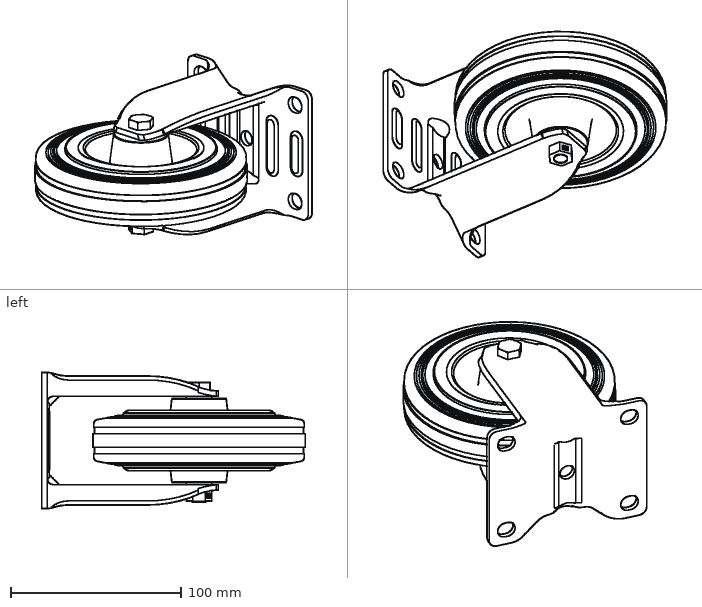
import cadquery as cq
import math


plate_length = 100.0
plate_width = 80.0
plate_back = 92.5
sheet = 3.3
plate_front = plate_back - sheet
plate_corner_radius = 5.0
bolt_slot_length = 11.0
bolt_slot_width = 9.5
bolt_slot_x = 39.0
bolt_slot_z = 30.0
plate_centre_hole = 9.0

leg_inner = 25.9
leg_outer = leg_inner + sheet
leg_flat_half = 11.0
flange_angle = math.radians(42)
flange_bend_outer = 9.5
flange_bend_inner = flange_bend_outer + sheet
flange_length = 9.5
flange_end_y = 30.5
flange_flare_y = 76.5
flange_flare_radius = 12.0
tip_y = -11.4
tip_flat_half = 9.0
tip_corner_x = 12.0
tip_corner_y = -10.0
narrow_end_y = 0.4
root_bend_inner = 3.4
root_bend_outer = root_bend_inner + sheet

dimple_radius = 11.0
dimple_depth = 6.3
dimple_rim_fillet = 7.0
flare_outline_x = 34.0
channel_half = 5.5
channel_foot_half = 8.8
channel_rise = 1.2
rib_rise = 1.4
rib_width = 10.0
rib_chamfer_height = 1.2
rib_chamfer_width = 2.2
plate_ribs = [(40.4, 28.0), (20.2, 37.5)]

wheel_radius = 62.5
tread_band_half = 4.1
tread_groove_radius = 61.6
tread_groove_end = 7.7
tread_edge_radius = 62.0
shoulder_start = 9.7
shoulder_top_radius = 59.5
shoulder_top = 12.4
shoulder_bulge = 0.5
side_rings = [56.0, 53.2, 51.0]
side_ring_width = 1.3
side_ring_depth = 0.1
tyre_lip_radius = 46.8
tyre_lip = 14.9
tyre_bead_foot_radius = 44.9
tyre_bead_top_radius = 44.4
tyre_bead_top = 16.3
rim_radius = 44.1
bead_foot = 16.0
bead_top = 17.9
bead_inner_radius = 37.0
rim_land_radius = 34.0
web_radius = 31.2
rim_wall_top_radius = 32.8
web_half = 4.7
web_fillet = 1.2
hub_top_radius = 16.1
hub_foot_radius = 18.7
hub_half = 24.8
hub_chamfer = 0.4

axle_radius = 4.0
sleeve_radius = 7.6
hex_flats = 13.0
hex_corners = hex_flats / math.cos(math.radians(30))
head_height = 5.0
nut_height = 6.5
bolt_overhang = 0.5
hex_chamfer = 0.5
nut_turn = 30
marked_face_angle = 240
nut_mark_width = 3.8
nut_mark_height = 2.8
nut_mark_line = 0.7
nut_mark_depth = 0.2

far = 100.0


def under_leg_surface(flat_z, bend_radius, bottom_z, y_start, y_end):
    """Everything between bottom_z and the hat-shaped leg surface, from y_start to y_end."""
    half_width = plate_length / 2 + 10
    sine = math.sin(flange_angle)
    cosine = math.cos(flange_angle)
    bend_mid = (
        leg_flat_half + bend_radius * math.sin(flange_angle / 2),
        flat_z + bend_radius * (1 - math.cos(flange_angle / 2)),
    )
    bend_end = (leg_flat_half + bend_radius * sine, flat_z + bend_radius * (1 - cosine))
    side_z = bend_end[1] + (half_width - bend_end[0]) * math.tan(flange_angle)
    profile = (
        cq.Workplane("XZ", origin=(0, y_end, 0))
        .moveTo(-half_width, bottom_z)
        .lineTo(-half_width, side_z)
        .lineTo(-bend_end[0], bend_end[1])
        .threePointArc((-bend_mid[0], bend_mid[1]), (-leg_flat_half, flat_z))
        .lineTo(leg_flat_half, flat_z)
        .threePointArc(bend_mid, bend_end)
        .lineTo(half_width, side_z)
        .lineTo(half_width, bottom_z)
        .close()
    )
    return profile.extrude(y_end - y_start)


def with_root_bend(body, bend_radius, groove_radius):
    """Round the edge between leg and plate and press the diagonal dimple into it."""
    root_edges = cq.selectors.BoxSelector((-far, tip_y, leg_inner - 1), (far, plate_back + 1, far))
    rounded = body.faces(">Y").edges(root_edges).fillet(bend_radius)
    axis_offset = (dimple_radius - dimple_depth) * math.sqrt(0.5)
    dimple_plane = cq.Plane(
        origin=(0, plate_back + axis_offset, leg_outer + axis_offset),
        xDir=(1, 0, 0),
        normal=(0, 1, -1),
    )
    dimple = cq.Workplane(dimple_plane).circle(groove_radius).extrude(far / 4, both=True)
    return rounded.cut(dimple)


def make_flange_trim():
    """Removes the sheet beyond the flange edge, square to the flange (+X side, +Z leg)."""
    sine = math.sin(flange_angle)
    cosine = math.cos(flange_angle)
    bend_end_x = leg_flat_half + flange_bend_outer * sine
    bend_end_z = leg_outer + flange_bend_outer * (1 - cosine)
    flange_plane = cq.Plane(
        origin=(bend_end_x, 0, bend_end_z), xDir=(cosine, 0, sine), normal=(-sine, 0, cosine)
    )
    flare_turn = flange_flare_radius * math.sqrt(0.5)
    edge = (
        cq.Workplane(flange_plane)
        .moveTo(0, narrow_end_y)
        .lineTo(0, 2 * tip_y)
        .lineTo(far, 2 * tip_y)
        .lineTo(far, flange_flare_y + flange_flare_radius)
        .lineTo(flange_length + flange_flare_radius, flange_flare_y + flange_flare_radius)
        .threePointArc(
            (
                flange_length + flange_flare_radius - flare_turn,
                flange_flare_y + flare_turn,
            ),
            (flange_length, flange_flare_y),
        )
        .lineTo(flange_length, flange_end_y)
        .tangentArcPoint((0, narrow_end_y), relative=False)
        .close()
    )
    return edge.extrude(2 * sheet, both=True)


def make_tip_trim():
    """Removes the +X corner of the leg tip, square to the middle of the bend."""
    half_angle = flange_angle / 2
    sine = math.sin(half_angle)
    cosine = math.cos(half_angle)
    bend_mid_x = leg_flat_half + flange_bend_outer * sine
    bend_mid_z = leg_outer + flange_bend_outer * (1 - cosine)
    bend_end_x = leg_flat_half + flange_bend_outer * math.sin(flange_angle)
    bend_plane = cq.Plane(
        origin=(bend_mid_x, 0, bend_mid_z), xDir=(cosine, 0, sine), normal=(-sine, 0, cosine)
    )

    def along_bend(x):
        return (x - bend_mid_x) / cosine

    corner = (
        cq.Workplane(bend_plane)
        .moveTo(along_bend(bend_end_x), narrow_end_y)
        .lineTo(along_bend(tip_corner_x), tip_corner_y)
        .lineTo(along_bend(tip_flat_half), tip_y)
        .lineTo(along_bend(tip_flat_half), 2 * tip_y)
        .lineTo(far, 2 * tip_y)
        .lineTo(far, narrow_end_y)
        .close()
    )
    return corner.extrude(2 * sheet, both=True)


def make_outline_trim():
    """Drops the plate's long edge in a curve to the flange corner (+X side, +Z leg)."""
    bend_end_x = leg_flat_half + flange_bend_outer * math.sin(flange_angle)
    bend_end_z = leg_outer + flange_bend_outer * (1 - math.cos(flange_angle))
    flange_corner_x = bend_end_x + flange_length * math.cos(flange_angle)
    flange_corner_z = bend_end_z + flange_length * math.sin(flange_angle)
    return (
        cq.Workplane("XZ", origin=(0, plate_back + 1, 0))
        .moveTo(flare_outline_x + 1, plate_width / 2)
        .lineTo(flare_outline_x, plate_width / 2)
        .tangentArcPoint((flange_corner_x, flange_corner_z), relative=False)
        .lineTo(flange_corner_x, plate_width / 2 + 1)
        .lineTo(flare_outline_x + 1, plate_width / 2 + 1)
        .close()
        .extrude(far)
    )


def make_half_fork():
    """The +Z leg with its half of the plate."""
    outer = under_leg_surface(leg_outer, flange_bend_outer, 0, tip_y, plate_back)
    inner = under_leg_surface(leg_inner, flange_bend_inner, -1, tip_y - 1, plate_front)
    outer = with_root_bend(outer, root_bend_outer, dimple_radius)
    dimple_edge_reach = leg_flat_half - 1.5
    dimple_rim = cq.selectors.BoxSelector(
        (-dimple_edge_reach, flange_flare_y, plate_width / 4),
        (dimple_edge_reach, plate_back + 1, leg_outer + 1),
    )
    outer = outer.edges(dimple_rim).fillet(dimple_rim_fillet)
    inner = with_root_bend(inner, root_bend_inner, dimple_radius + sheet)
    half = outer.cut(inner)
    for trim in (make_flange_trim(), make_tip_trim(), make_outline_trim()):
        half = half.cut(trim).cut(trim.mirror("YZ"))
    return half


def channel(back_y, front_y):
    """Flat-topped strip along the middle of the plate."""
    reach = leg_inner - root_bend_inner
    return (
        cq.Workplane("XY", origin=(0, 0, -reach))
        .polyline([
            (-channel_foot_half, back_y),
            (-channel_half, front_y),
            (channel_half, front_y),
            (channel_foot_half, back_y),
        ])
        .close()
        .extrude(2 * reach)
    )


def make_fork():
    half = make_half_fork()
    fork = half.union(half.mirror("XY"))
    envelope = (
        cq.Workplane("XZ", origin=(0, plate_back, 0))
        .rect(plate_length, plate_width)
        .extrude(plate_back + far)
        .edges("|Y")
        .fillet(plate_corner_radius)
    )
    fork = fork.intersect(envelope)
    fork = fork.union(channel(plate_front, plate_front - channel_rise))
    fork = fork.cut(channel(plate_back, plate_back - channel_rise))
    for rib_x, rib_length in plate_ribs:
        for side in (-1, 1):
            rib = (
                cq.Workplane("XZ", origin=(side * rib_x, plate_front, 0))
                .slot2D(rib_length, rib_width, 90)
                .extrude(rib_rise)
                .faces("<Y")
                .chamfer(rib_chamfer_height, rib_chamfer_width)
            )
            fork = fork.union(rib)
    plate_holes = (
        cq.Workplane("XZ", origin=(0, plate_back + 1, 0))
        .rect(2 * bolt_slot_x, 2 * bolt_slot_z, forConstruction=True)
        .vertices()
        .slot2D(bolt_slot_length, bolt_slot_width)
        .extrude(3 * sheet)
    )
    centre_hole = (
        cq.Workplane("XZ", origin=(0, plate_back + 1, 0))
        .circle(plate_centre_hole / 2)
        .extrude(3 * sheet)
    )
    axle_hole = cq.Workplane("XY").circle(axle_radius).extrude(far, both=True)
    return fork.cut(plate_holes).cut(centre_hole).cut(axle_hole)


def revolve_upper_half(profile):
    """Turn an upper-half profile about Z and mirror it to the full width."""
    upper = profile.close().revolve(360, (0, 0, 0), (0, 1, 0))
    return upper.union(upper.mirror("XY"))


def make_tyre():
    shoulder_mid = (
        (tread_edge_radius + shoulder_top_radius) / 2 + shoulder_bulge,
        (shoulder_start + shoulder_top) / 2 + shoulder_bulge,
    )
    profile = (
        cq.Workplane("XZ")
        .moveTo(rim_radius, 0)
        .lineTo(wheel_radius, 0)
        .lineTo(wheel_radius, tread_band_half)
        .lineTo(tread_groove_radius, tread_band_half)
        .lineTo(tread_groove_radius, tread_groove_end)
        .lineTo(tread_edge_radius, tread_groove_end)
        .lineTo(tread_edge_radius, shoulder_start)
        .threePointArc(shoulder_mid, (shoulder_top_radius, shoulder_top))
        .lineTo(tyre_lip_radius, tyre_lip)
        .lineTo(tyre_bead_foot_radius, tyre_lip)
        .lineTo(tyre_bead_top_radius, tyre_bead_top)
        .lineTo(rim_radius, tyre_bead_top)
    )
    tyre = revolve_upper_half(profile)
    wall_slope = (tyre_lip - shoulder_top) / (shoulder_top_radius - tyre_lip_radius)
    for ring in side_rings:
        ring_floor = shoulder_top + (shoulder_top_radius - ring) * wall_slope - side_ring_depth
        groove = (
            cq.Workplane("XY", origin=(0, 0, ring_floor))
            .circle(ring)
            .circle(ring - side_ring_width)
            .extrude(1)
        )
        tyre = tyre.cut(groove).cut(groove.mirror("XY"))
    return tyre


def make_rim():
    bead_mid_radius = (rim_radius + bead_inner_radius) / 2
    profile = (
        cq.Workplane("XZ")
        .moveTo(sleeve_radius, 0)
        .lineTo(sleeve_radius, hub_half)
        .lineTo(hub_top_radius - hub_chamfer, hub_half)
        .lineTo(hub_top_radius, hub_half - hub_chamfer)
        .lineTo(hub_foot_radius, web_half)
        .lineTo(web_radius, web_half)
        .lineTo(rim_wall_top_radius, tyre_lip)
        .lineTo(rim_land_radius, tyre_lip + 1)
        .lineTo(bead_inner_radius, tyre_lip + 1)
        .threePointArc((bead_mid_radius, bead_top), (rim_radius, bead_foot))
        .lineTo(rim_radius, 0)
    )
    rim = revolve_upper_half(profile)
    web_corners = cq.selectors.BoxSelector(
        (-far, -far, -web_half - 0.1), (far, far, web_half + 0.1), boundingbox=True
    )
    rim = rim.edges("%CIRCLE").edges(web_corners).fillet(web_fillet)
    return rim


def make_sleeve():
    return (
        cq.Workplane("XY", origin=(0, 0, -leg_inner))
        .circle(sleeve_radius)
        .circle(axle_radius)
        .extrude(2 * leg_inner)
    )


def make_bolt():
    chamfer_disc = (
        cq.Workplane("XY", origin=(0, 0, leg_outer))
        .circle(hex_corners / 2)
        .extrude(head_height)
        .faces(">Z")
        .chamfer(hex_chamfer)
    )
    head = (
        cq.Workplane("XY", origin=(0, 0, leg_outer))
        .polygon(6, hex_corners)
        .extrude(head_height)
        .intersect(chamfer_disc)
    )
    shank_end = -(leg_outer + nut_height + bolt_overhang)
    shank = (
        cq.Workplane("XY", origin=(0, 0, shank_end))
        .circle(axle_radius)
        .extrude(leg_outer - shank_end)
    )
    return head.union(shank)


def polar_point(radius, angle):
    return radius * math.cos(angle), radius * math.sin(angle)


def make_nut():
    nut = (
        cq.Workplane("XY", origin=(0, 0, -leg_outer - nut_height))
        .polygon(6, hex_corners)
        .circle(axle_radius)
        .extrude(nut_height)
        .rotate((0, 0, 0), (0, 0, 1), nut_turn)
    )
    face_middle = polar_point(hex_flats / 2, math.radians(marked_face_angle))
    mark_plane = cq.Plane(
        origin=(*face_middle, -leg_outer - nut_height / 2),
        xDir=(0, 0, 1),
        normal=(*face_middle, 0),
    )
    mark = (
        cq.Workplane(mark_plane)
        .rect(nut_mark_height, nut_mark_width)
        .rect(nut_mark_height - 2 * nut_mark_line, nut_mark_width - 2 * nut_mark_line)
        .extrude(-nut_mark_depth)
    )
    return nut.cut(mark)


fork = make_fork()
tyre = make_tyre()
rim = make_rim()
sleeve = make_sleeve()
bolt = make_bolt()
nut = make_nut()

result = cq.Compound.makeCompound([
    fork.val(),
    tyre.val(),
    rim.val(),
    sleeve.val(),
    bolt.val(),
    nut.val(),
])